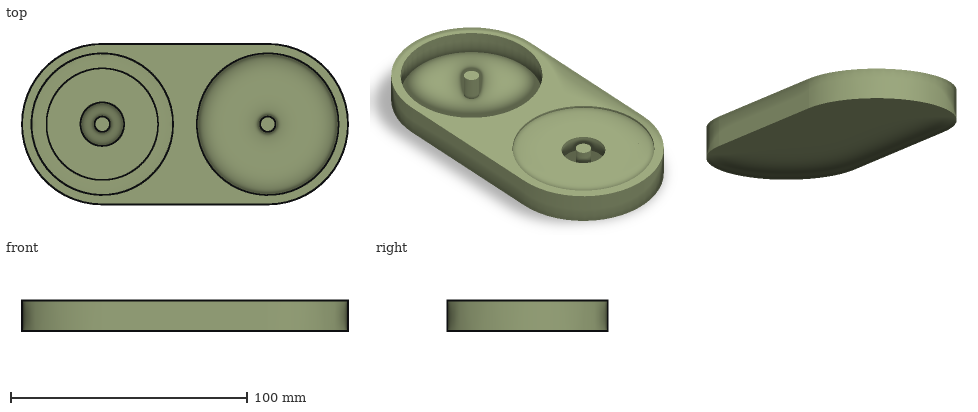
import cadquery as cq

length = 138.0
width = 68.0
height = 13.0
center_spacing = length - width
pocket_diameter = 60.0
floor_thickness = 3.0
pocket_depth = height - floor_thickness
post_diameter = 6.5

cup_clearance = 0.075
cup_diameter = pocket_diameter - 2 * cup_clearance
cup_height = 9.0
cup_floor_thickness = 2.25
cup_x = -center_spacing / 2
cup_bottom = floor_thickness + cup_clearance

core_diameter = 47.25
core_bore_diameter = 18.5
core_bottom = cup_bottom + cup_floor_thickness
core_height = cup_height - cup_floor_thickness


def make_washer(bottom, washer_height, outer_diameter, bore_diameter):
    """Flat washer on the axis of the -X pocket."""
    return (
        cq.Workplane("XY", origin=(cup_x, 0, bottom))
        .circle(outer_diameter / 2)
        .circle(bore_diameter / 2)
        .extrude(washer_height)
    )


def make_housing():
    """Block with two pockets, each with a central post level with the top face."""
    block = cq.Workplane("XY").slot2D(length, width).extrude(height)
    pocket_floors = cq.Workplane("XY", origin=(0, 0, floor_thickness)).rarray(center_spacing, 1, 2, 1)
    pockets = pocket_floors.circle(pocket_diameter / 2).circle(post_diameter / 2).extrude(pocket_depth)
    return block.cut(pockets)


def make_cup():
    """Round tray whose floor is bored to fit over the post."""
    body = make_washer(cup_bottom, cup_height, cup_diameter, post_diameter)
    recess_floor = cq.Workplane("XY", origin=(cup_x, 0, core_bottom))
    recess = recess_floor.circle(core_diameter / 2).extrude(core_height)
    return body.cut(recess)


def make_core():
    """Washer with a wide bore that leaves the post and the cup floor visible."""
    return make_washer(core_bottom, core_height, core_diameter, core_bore_diameter)


housing = make_housing()
cup = make_cup()
core = make_core()

result = cq.Compound.makeCompound([housing.solids().val(), cup.solids().val(), core.solids().val()])